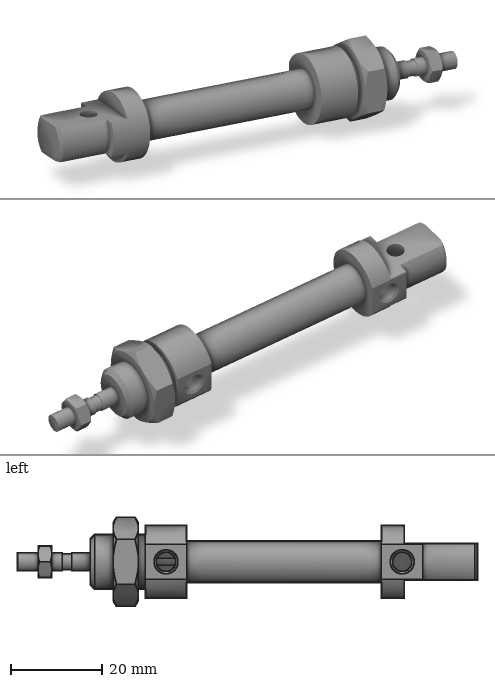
import cadquery as cq
import math

overall_length = 101.0
front_tip = overall_length / 2
rear_end = -overall_length / 2

rod_diameter = 4.0
groove_diameter = 3.5
groove_front = 40.6
groove_length = 2.0

rod_nut_front = 46.0
rod_nut_length = 3.0
rod_nut_flats = 7.0
rod_nut_face_diameter = 7.0

mount_nut_front = 29.5
mount_nut_length = 5.6
mount_nut_flats = 17.0
mount_nut_face_diameter = 17.0
nut_chamfer_angle = 30.0

neck_diameter = 12.0
neck_front = 34.5
neck_chamfer = 1.0
collar_diameter = 16.1
collar_length = 9.1
front_collar_front = 22.4
rear_collar_front = -29.4
front_collar_rear = front_collar_front - collar_length
rear_collar_rear = rear_collar_front - collar_length
port_flat_offset = 7.1
tube_diameter = 9.2
tail_diameter = neck_diameter
tail_chamfer_radial = 1.0
tail_chamfer_axial = 0.6
tongue_thickness = 8.1
tongue_front = -34.4
pivot_hole_diameter = 4.0
pivot_hole_y = -40.4

port_diameter = 4.2
port_mouth_diameter = 5.3
port_chamfer = (port_mouth_diameter - port_diameter) / 2
port_bottom_offset = 1.87
port_depth = port_flat_offset - port_bottom_offset


def cylinder_y(diameter, y_front, y_rear):
    """Solid cylinder on the Y axis between two Y positions."""
    return cq.Workplane("XZ", origin=(0, y_front, 0)).circle(diameter / 2).extrude(y_front - y_rear)


def make_rod():
    rod = cylinder_y(rod_diameter, front_tip, front_collar_rear)
    groove_rear = groove_front - groove_length
    groove = cylinder_y(rod_diameter, groove_front, groove_rear).cut(
        cylinder_y(groove_diameter, groove_front, groove_rear)
    )
    return rod.cut(groove)


def make_nut(y_front, length, across_flats, face_diameter, bore_diameter, turn):
    """Hex nut on the Y axis, corners chamfered on both faces; turn 0 puts corners on X."""
    across_corners = across_flats / math.cos(math.radians(30))
    corner_radius = across_corners / 2
    face_radius = face_diameter / 2
    drop = (corner_radius - face_radius) * math.tan(math.radians(nut_chamfer_angle))
    y_rear = y_front - length
    hexagon = (
        cq.Workplane("XZ", origin=(0, y_front, 0))
        .polygon(6, across_corners)
        .extrude(length)
        .rotate((0, 0, 0), (0, 1, 0), turn)
    )
    chamfer_envelope = (
        cq.Workplane("XY")
        .moveTo(0, y_rear)
        .lineTo(face_radius, y_rear)
        .lineTo(corner_radius, y_rear + drop)
        .lineTo(corner_radius, y_front - drop)
        .lineTo(face_radius, y_front)
        .lineTo(0, y_front)
        .close()
        .revolve(360, (0, 0, 0), (0, 1, 0))
    )
    return hexagon.intersect(chamfer_envelope).cut(cylinder_y(bore_diameter, y_front, y_rear))


def make_collar(y_front):
    """Round collar with one flat on its -X side."""
    collar = cylinder_y(collar_diameter, y_front, y_front - collar_length)
    flat_cutter = (
        cq.Workplane("XY")
        .box(collar_diameter, collar_length, collar_diameter)
        .translate((-port_flat_offset - collar_diameter / 2, y_front - collar_length / 2, 0))
    )
    return collar.cut(flat_cutter)


def make_port_cutter(y_center):
    """Flat-bottomed port with a chamfered mouth, entering from the -X flat."""
    mouth = cq.Workplane("YZ", origin=(-port_flat_offset, y_center, 0))
    bore = mouth.circle(port_diameter / 2).extrude(port_depth)
    countersink = (
        mouth.circle(port_mouth_diameter / 2)
        .workplane(offset=port_chamfer)
        .circle(port_diameter / 2)
        .loft()
    )
    return bore.union(countersink)


def make_tongue_cutters():
    """Blocks above and below the tongue, from the rear end up into the rear collar."""
    length = tongue_front - rear_end
    height = collar_diameter
    block = cq.Workplane("XY").box(2 * collar_diameter, length, height)
    y_center = rear_end + length / 2
    z_center = (tongue_thickness + height) / 2
    upper = block.translate((0, y_center, z_center))
    lower = block.translate((0, y_center, -z_center))
    return upper.union(lower)


def make_housing():
    neck = cylinder_y(neck_diameter, neck_front, front_collar_rear).faces(">Y").chamfer(neck_chamfer)
    tube = cylinder_y(tube_diameter, front_collar_front, rear_collar_rear)
    tail = (
        cylinder_y(tail_diameter, rear_collar_front, rear_end)
        .faces("<Y")
        .chamfer(tail_chamfer_axial, tail_chamfer_radial)
    )
    housing = neck.union(tube).union(tail)
    for y_front in (front_collar_front, rear_collar_front):
        housing = housing.union(make_collar(y_front))

    housing = housing.cut(make_tongue_cutters())
    for y_front in (front_collar_front, rear_collar_front):
        housing = housing.cut(make_port_cutter(y_front - collar_length / 2))

    pivot_hole = (
        cq.Workplane("XY", origin=(0, pivot_hole_y, 0))
        .circle(pivot_hole_diameter / 2)
        .extrude(tongue_thickness / 2, both=True)
    )
    rod_bore = cylinder_y(rod_diameter, neck_front, front_collar_rear)
    return housing.cut(pivot_hole).cut(rod_bore)


rod = make_rod()
rod_nut = make_nut(
    rod_nut_front, rod_nut_length, rod_nut_flats, rod_nut_face_diameter, rod_diameter, turn=0
)
mount_nut = make_nut(
    mount_nut_front, mount_nut_length, mount_nut_flats, mount_nut_face_diameter, neck_diameter, turn=30
)
housing = make_housing()

result = cq.Compound.makeCompound([rod.val(), rod_nut.val(), mount_nut.val(), housing.val()])